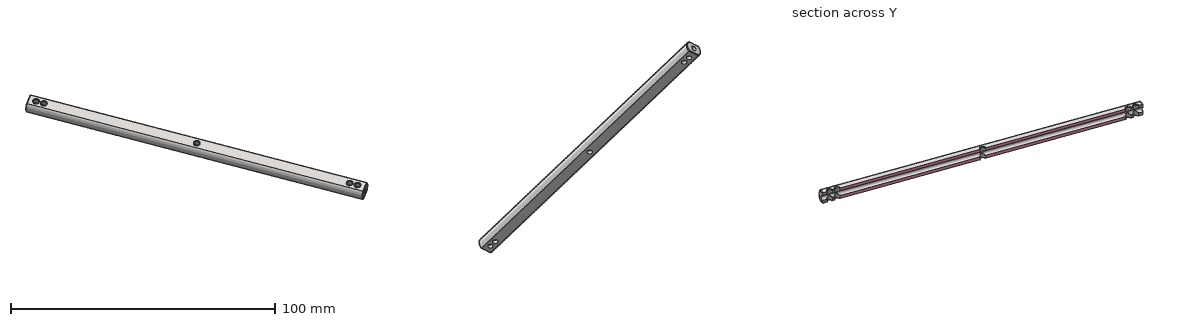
import cadquery as cq

length = 134.38
rod_diameter = 6.6
height_over_flats = 5.0
end_chamfer = 0.3

axial_hole_diameter = 2.0
cross_hole_diameter = 2.0
countersink_diameter = 2.6
countersink_angle = 90.0
end_to_first_hole = 3.15
hole_pair_spacing = 3.1

outer_hole_x = length / 2 - end_to_first_hole
inner_hole_x = outer_hole_x - hole_pair_spacing
cross_hole_positions = [-outer_hole_x, -inner_hole_x, 0.0, inner_hole_x, outer_hole_x]


def make_bar():
    """Round rod trimmed by the two flats, with both ends chamfered all round."""
    rod = cq.Workplane("YZ").circle(rod_diameter / 2).extrude(length / 2, both=True)
    flats = cq.Workplane("XY").box(length, rod_diameter, height_over_flats)
    return rod.intersect(flats).faces("<X or >X").chamfer(end_chamfer)


def cut_axial_hole(bar):
    """Bore running the full length of the bar."""
    bore = cq.Workplane("YZ").circle(axial_hole_diameter / 2).extrude(length / 2, both=True)
    return bar.cut(bore)


def cut_cross_holes(bar):
    """Vertical through holes, countersunk on the upper flat."""
    return (
        bar.faces(">Z")
        .workplane(origin=(0, 0, 0))
        .pushPoints([(x, 0) for x in cross_hole_positions])
        .cskHole(cross_hole_diameter, countersink_diameter, countersink_angle)
    )


result = cut_cross_holes(cut_axial_hole(make_bar()))